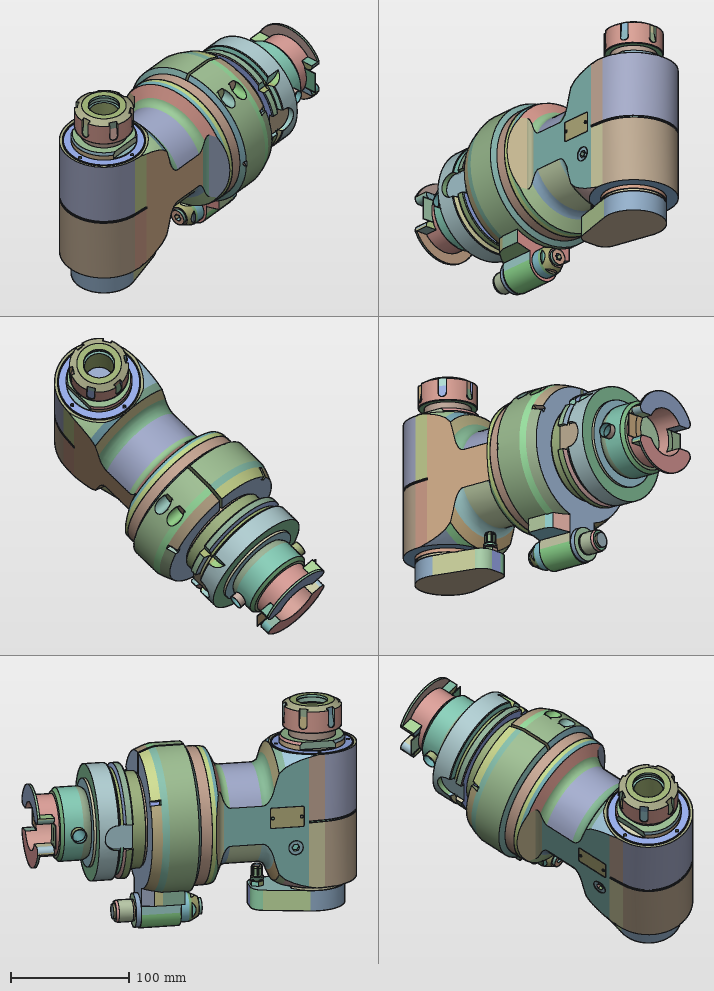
import cadquery as cq
import math


SHANK_END_Y = 244.0
CLAMP_END_Y = 150.5
HOUSING_END_Y = 108.2

LIP_RADIUS = 35.8
LIP_THICKNESS = 2.0
TAIL_RADIUS = 26.5
TAIL_BORE_RADIUS = 20.9
TAIL_BORE_DEPTH = 25.5
TAIL_SLOT_HALF_WIDTH = 10.1
LIP_RAIL_THICKNESS = 6.0
LIP_RAIL_REACH = 32.0
LIP_RAIL_ROUNDING = 4.5
SLOT_FLOOR_REACH = 36.0
SLOT_FLOOR_THICKNESS = 0.5
DEEP_SLOT_Y = 229.7
SHALLOW_SLOT_Y = 234.5
CROSS_TUBE_Y = 208.9
CROSS_TUBE_RADIUS = 6.2
CROSS_HOLE_RADIUS = 6.0
CROSS_TUBE_REACH = 37.2
FLANGE_RADIUS = 50.0
FLANGE_BACK_Y = 194.5
FLANGE_FRONT_Y = 164.5
SPIGOT_RADIUS = 39.7
DRIVE_SLOT_WIDTH = 22.0
DRIVE_SLOT_LENGTH = 24.8
DRIVE_SLOT_FLOOR = 44.5
INDEX_NOTCH_X = 32.0
INDEX_NOTCH_Z = 31.3
INDEX_NOTCH_END_Y = 179.0
INDEX_NOTCH_RUNOUT_RADIUS = 12.7

CLAMP_RADIUS = 64.0
CLAMP_NOSE_RADIUS = 59.0
SPLIT_WIDTH = 2.5
WRENCH_SLOT_WIDTH = 4.2
WRENCH_SLOT_FLOOR = 55.8
WRENCH_SLOT_LENGTH = 8.5
SCREW_POCKET_RADIUS = 5.5
SCREW_POCKET_Z = 52.1
SCREW_POCKET_X = 28.5
SCREW_POCKET_YS = (133.0, 118.0)
MARK_RADIUS = 2.5
MARK_DEPTH = 3.5
BLOCK_FRONT_Y = 116.0
BLOCK_HALF_WIDTH = 15.2
BLOCK_BOTTOM_Z = -96.0
BLOCK_BASE_HALF_WIDTH = 29.3
BLOCK_BASE_Z = -69.0
BLOCK_WAIST_Z = -72.7
BLOCK_ROOT_Z = -50.7

PIN_Z = -80.5
PIN_RADIUS = 9.5
PIN_FLAT_DISTANCE = 10.1
PIN_SOCKET_DIAMETER = 6.5
PIN_SOCKET_DEPTH = 4.2
PIN_FRONT_Y = 96.5
PIN_BACK_Y = 172.8

HEAD_HALF_HEIGHT = 59.2
HEAD_RADIUS = 37.8
FLAT_HALF_WIDTH = 38.75
FLAT_END_Y = 10.5
HEAD_TANGENT_Y = -3.5
HOUSING_FLANGE_RADIUS = 59.2
NECK_RADIUS = 42.3
SHOULDER_FILLET = 4.8
SPLIT_LINE_HEIGHT = 1.5
SPLIT_LINE_DEPTH = 0.8
COVER_RADIUS = 35.2
COVER_GROOVE_WIDTH = 0.8
COVER_GROOVE_DEPTH = 0.8
COVER_HOLE_CIRCLE_RADIUS = 31.3
COVER_HOLE_DIAMETER = 2.6
COVER_HOLE_DEPTH = 2.8
LOWER_COLLAR_RADIUS = 28.0
LOWER_COLLAR_HEIGHT = 3.5

NAMEPLATE_LENGTH = 29.3
NAMEPLATE_HEIGHT = 18.0
NAMEPLATE_Y = 29.5
NAMEPLATE_Z = 5.5
NAMEPLATE_THICKNESS = 0.3
NAMEPLATE_CORNER = 1.5
NAMEPLATE_SCREW_SPACING = 25.0
NAMEPLATE_SCREW_DIAMETER = 2.5
NAMEPLATE_SCREW_HEIGHT = 0.8

PLUG_Y = 22.0
PLUG_Z = -22.0
PLUG_DIAMETER = 12.5
PLUG_RECESS = 0.5
PLUG_SOCKET_DIAMETER = 6.5
PLUG_SOCKET_DEPTH = 4.2

SPINDLE_RADIUS = 20.0
SPINDLE_BORE_RADIUS = 12.5
SPINDLE_BORE_FLOOR_Z = 62.0
COLLAR_RADIUS = 28.0
COLLAR_TOP_Z = 66.2
COLLAR_FLAT_DISTANCE = 23.5
COLLAR_STEP_HEIGHT = 0.8
NUT_RADIUS = 25.0
NUT_BOTTOM_Z = 73.8
NUT_TOP_Z = 96.5
NUT_FACE_RADIUS = 19.0
NUT_BEVEL_HEIGHT = 3.5
NUT_SEAT_Z = 89.5
NUT_MOUTH_RADIUS = 13.2
NUT_GROOVE_RADIUS = 14.7
NUT_SLOT_COUNT = 6
NUT_SLOT_WIDTH = 7.0
NUT_SLOT_FLOOR = 22.3
NUT_SLOT_BOTTOM_Z = 77.2
NUT_SLOT_RAMP_Z = 87.5
NUT_SLOT_RAMP_END = 24.5

ARM_TOP_Z = -64.8
ARM_BOTTOM_Z = -83.0
ARM_HUB_RADIUS = 28.0
ARM_SEAT_RADIUS = 27.0
ARM_CORNER_RADIUS = 11.8
ARM_CORNER_X = 5.5
ARM_NOSE_END_Y = 54.7
ARM_SEAT_TRIM_Y = 21.5
NIPPLE_Y = 47.5
NIPPLE_HEX_DIAMETER = 12.0
NIPPLE_RADIUS = 4.93
NIPPLE_SLOT_COUNT = 6
NIPPLE_SLOT_WIDTH = 1.5
NIPPLE_SLOT_DEPTH = 0.8

CUT_MARGIN = 28.2


def revolve_about_y(profile):
    """Solid of revolution from (radius, y) points."""
    return cq.Workplane("XY").polyline(profile).close().revolve(360, (0, 0, 0), (0, 1, 0))


def revolve_about_z(profile):
    """Solid of revolution from (radius, z) points."""
    return cq.Workplane("XZ").polyline(profile).close().revolve(360, (0, 0, 0), (0, 1, 0))


def box(x_range, y_range, z_range):
    """Box between two limits on each axis."""
    spans = [high - low for low, high in (x_range, y_range, z_range)]
    corner = (x_range[0], y_range[0], z_range[0])
    return cq.Workplane("XY").box(*spans, centered=False).translate(corner)


def x_cylinder(radius, x_range, y, z):
    """Cylinder along X between two X limits."""
    length = x_range[1] - x_range[0]
    return cq.Workplane("YZ", origin=(x_range[0], y, z)).circle(radius).extrude(length)


def drive_slot(angle):
    """U-ended cutter running in from the flange front, facing +X turned by angle about Y."""
    floor = DRIVE_SLOT_FLOOR
    end_radius = DRIVE_SLOT_WIDTH / 2
    arc_y = FLANGE_FRONT_Y + DRIVE_SLOT_LENGTH - end_radius
    outer = FLANGE_RADIUS + CUT_MARGIN
    straight = box((floor, outer), (FLANGE_FRONT_Y, arc_y), (-end_radius, end_radius))
    rounded = x_cylinder(end_radius, (floor, outer), arc_y, 0)
    return straight.union(rounded).rotate((0, 0, 0), (0, 1, 0), angle)


def index_notch():
    """Flat-bottomed corner cutter ending in a round runout."""
    reach = (INDEX_NOTCH_X, FLANGE_RADIUS)
    centre_z = INDEX_NOTCH_Z + INDEX_NOTCH_RUNOUT_RADIUS
    notch = box(reach, (FLANGE_FRONT_Y, INDEX_NOTCH_END_Y), (INDEX_NOTCH_Z, FLANGE_RADIUS))
    return notch.union(x_cylinder(INDEX_NOTCH_RUNOUT_RADIUS, reach, INDEX_NOTCH_END_Y, centre_z))


def add_tail_slot(body, side, floor_y):
    """Drive slot in the tail on one side, framed by two rails and a thin floor."""
    half = TAIL_SLOT_HALF_WIDTH
    frame_half = half + LIP_RAIL_THICKNESS
    rail = box((TAIL_BORE_RADIUS, LIP_RAIL_REACH), (floor_y, SHANK_END_Y), (half, frame_half))
    rail = rail.faces(">X").edges("<Z").fillet(LIP_RAIL_ROUNDING)
    frame = rail.union(rail.mirror("XY"))
    trim = box((TAIL_RADIUS, FLANGE_RADIUS), (floor_y, SHANK_END_Y), (-frame_half, frame_half))
    slot = box((0, FLANGE_RADIUS), (floor_y, SHANK_END_Y), (-half, half))
    floor_back_y = floor_y - SLOT_FLOOR_THICKNESS
    floor = box((TAIL_BORE_RADIUS, SLOT_FLOOR_REACH), (floor_back_y, floor_y), (-half, half))
    if side < 0:
        frame, trim, slot, floor = (s.mirror("YZ") for s in (frame, trim, slot, floor))
    return body.cut(trim).cut(slot).union(frame).union(floor)


def make_shank():
    lip_y = SHANK_END_Y - LIP_THICKNESS
    front_outline = [
        (0, HOUSING_END_Y), (SPIGOT_RADIUS, HOUSING_END_Y), (SPIGOT_RADIUS, 152.5),
        (41.5, 152.5), (41.5, FLANGE_FRONT_Y),
        (48.5, FLANGE_FRONT_Y), (49.3, 165.5), (49.3, 170.8),
        (45.7, 172.5), (45.7, 175.0),
        (49.3, 176.7), (FLANGE_RADIUS, 177.5), (FLANGE_RADIUS, FLANGE_BACK_Y),
        (37.8, FLANGE_BACK_Y), (37.8, 196.7), (29.0, 196.7),
    ]
    tail_outline = [
        (31.5, 220.7), (28.7, 223.5), (TAIL_RADIUS, 224.0),
        (TAIL_RADIUS, lip_y), (LIP_RADIUS, lip_y), (LIP_RADIUS, SHANK_END_Y), (0, SHANK_END_Y),
    ]
    body = (
        cq.Workplane("XY")
        .polyline(front_outline)
        .threePointArc((31.0, 200.0), (31.5, 203.8))
        .polyline(tail_outline, includeCurrent=True)
        .close()
        .revolve(360, (0, 0, 0), (0, 1, 0))
    )
    body = add_tail_slot(body, -1, DEEP_SLOT_Y)
    body = add_tail_slot(body, 1, SHALLOW_SLOT_Y)
    bore_y = SHANK_END_Y - TAIL_BORE_DEPTH
    body = body.cut(revolve_about_y([
        (0, bore_y), (TAIL_BORE_RADIUS, bore_y), (TAIL_BORE_RADIUS, SHANK_END_Y), (0, SHANK_END_Y),
    ]))
    reach = (-CROSS_TUBE_REACH, CROSS_TUBE_REACH)
    body = body.union(x_cylinder(CROSS_TUBE_RADIUS, reach, CROSS_TUBE_Y, 0))
    body = body.cut(x_cylinder(CROSS_HOLE_RADIUS, reach, CROSS_TUBE_Y, 0))
    for angle in (0, 180):
        body = body.cut(drive_slot(angle))
    return body.cut(index_notch())


def make_stop_block():
    """Block under the clamp ring: wide base, chamfered waist and round-bottomed pin holder."""
    depth = CLAMP_END_Y - BLOCK_FRONT_Y
    centre_z = BLOCK_BOTTOM_Z + BLOCK_HALF_WIDTH
    section = (
        cq.Workplane("XZ", origin=(0, CLAMP_END_Y, 0))
        .moveTo(-BLOCK_BASE_HALF_WIDTH, BLOCK_ROOT_Z)
        .lineTo(-BLOCK_BASE_HALF_WIDTH, BLOCK_BASE_Z)
        .lineTo(-BLOCK_HALF_WIDTH, BLOCK_WAIST_Z)
        .lineTo(-BLOCK_HALF_WIDTH, centre_z)
        .threePointArc((0, BLOCK_BOTTOM_Z), (BLOCK_HALF_WIDTH, centre_z))
        .lineTo(BLOCK_HALF_WIDTH, BLOCK_WAIST_Z)
        .lineTo(BLOCK_BASE_HALF_WIDTH, BLOCK_BASE_Z)
        .lineTo(BLOCK_BASE_HALF_WIDTH, BLOCK_ROOT_Z)
        .close()
        .extrude(depth)
    )
    plan_right = [(BLOCK_BASE_HALF_WIDTH, BLOCK_FRONT_Y), (BLOCK_BASE_HALF_WIDTH, 134.7),
                  (27.0, 141.8), (BLOCK_HALF_WIDTH, CLAMP_END_Y)]
    plan_left = [(-x, y) for x, y in reversed(plan_right)]
    plan = (
        cq.Workplane("XY", origin=(0, 0, BLOCK_BOTTOM_Z))
        .polyline(plan_right + plan_left).close()
        .extrude(BLOCK_ROOT_Z - BLOCK_BOTTOM_Z)
    )
    return section.intersect(plan)


def make_clamp_ring():
    body = revolve_about_y([
        (0, HOUSING_END_Y), (HOUSING_FLANGE_RADIUS, HOUSING_END_Y),
        (CLAMP_RADIUS, 111.0), (CLAMP_RADIUS, 136.0), (62.3, 142.0), (CLAMP_NOSE_RADIUS, CLAMP_END_Y), (0, CLAMP_END_Y),
    ])
    body = body.union(make_stop_block())
    length = (HOUSING_END_Y, CLAMP_END_Y)
    bore = revolve_about_y([
        (0, length[0]), (SPIGOT_RADIUS, length[0]), (SPIGOT_RADIUS, length[1]), (0, length[1]),
    ])
    body = body.cut(bore)
    half_split = SPLIT_WIDTH / 2
    body = body.cut(box((-half_split, half_split), length, (0, CLAMP_RADIUS)))
    half_slot = WRENCH_SLOT_WIDTH / 2
    wrench_slot = box(
        (WRENCH_SLOT_FLOOR, CLAMP_RADIUS + CUT_MARGIN),
        (CLAMP_END_Y - WRENCH_SLOT_LENGTH, CLAMP_END_Y),
        (-half_slot, half_slot),
    )
    for angle in (-30, -150):
        body = body.cut(wrench_slot.rotate((0, 0, 0), (0, 1, 0), angle))
    for y in SCREW_POCKET_YS:
        body = body.cut(x_cylinder(SCREW_POCKET_RADIUS, (SCREW_POCKET_X, CLAMP_RADIUS), y, SCREW_POCKET_Z))
    mark = cq.Workplane("XZ", origin=(CLAMP_RADIUS, HOUSING_END_Y + MARK_DEPTH, 0))
    body = body.cut(mark.circle(MARK_RADIUS).extrude(MARK_DEPTH))
    pin_bore = cq.Workplane("XZ", origin=(0, CLAMP_END_Y, PIN_Z))
    return body.cut(pin_bore.circle(PIN_RADIUS).extrude(CLAMP_END_Y - BLOCK_FRONT_Y))


def make_stop_pin():
    tip_y = 99.2
    body = revolve_about_y([
        (0, PIN_FRONT_Y), (7.0, PIN_FRONT_Y), (7.0, tip_y), (8.5, tip_y),
        (12.0, 106.0), (12.7, 108.2), (12.7, BLOCK_FRONT_Y),
        (PIN_RADIUS, BLOCK_FRONT_Y), (PIN_RADIUS, CLAMP_END_Y),
        (14.7, CLAMP_END_Y), (14.7, 154.7), (9.3, 154.7), (9.3, 156.2), (PIN_RADIUS, 156.2), (PIN_RADIUS, 168.5),
        (8.7, 170.8), (6.5, 170.8), (6.5, PIN_BACK_Y), (0, PIN_BACK_Y),
    ])
    flat = box((PIN_FLAT_DISTANCE, CLAMP_RADIUS), (tip_y, 106.0), (-CLAMP_RADIUS, CLAMP_RADIUS))
    for angle in (0, 90, 180, 270):
        body = body.cut(flat.rotate((0, 0, 0), (0, 1, 0), angle))
    socket = cq.Workplane("XZ", origin=(0, PIN_FRONT_Y + PIN_SOCKET_DEPTH, 0))
    body = body.cut(socket.polygon(6, PIN_SOCKET_DIAMETER).extrude(PIN_SOCKET_DEPTH))
    return body.translate((0, 0, PIN_Z))


def housing_turned_body():
    """Flange, waisted neck and domed head, all turned about Y."""
    return (
        cq.Workplane("XY")
        .moveTo(0, HOUSING_END_Y)
        .lineTo(HOUSING_FLANGE_RADIUS, HOUSING_END_Y)
        .lineTo(HOUSING_FLANGE_RADIUS, 98.7)
        .lineTo(59.0, 98.7)
        .lineTo(59.0, 94.5)
        .lineTo(58.0, 91.3)
        .lineTo(47.5, 86.0)
        .threePointArc((43.7, 83.0), (NECK_RADIUS, 79.0))
        .lineTo(NECK_RADIUS, 51.3)
        .threePointArc((44.3, 44.8), (49.5, 41.0))
        .lineTo(HOUSING_FLANGE_RADIUS, 36.6)
        .lineTo(63.0, 31.0)
        .threePointArc((68.0, 17.2), (70.7, HEAD_TANGENT_Y))
        .lineTo(70.7, -HEAD_RADIUS)
        .lineTo(0, -HEAD_RADIUS)
        .close()
        .revolve(360, (0, 0, 0), (0, 1, 0))
    )


def housing_plan(inset, bottom_z, top_z):
    """Prism of the housing plan shape: flange, side flats and round head, shrunk by inset."""
    radius = HEAD_RADIUS - inset
    flat_x = FLAT_HALF_WIDTH - inset
    tangent_x = math.sqrt(radius ** 2 - HEAD_TANGENT_Y ** 2)
    wide = HOUSING_FLANGE_RADIUS + 0.3
    shoulder_y = 87.7
    prism = (
        cq.Workplane("XY", origin=(0, 0, bottom_z))
        .moveTo(-wide, HOUSING_END_Y)
        .lineTo(-wide, 95.5)
        .lineTo(-flat_x, shoulder_y)
        .lineTo(-flat_x, FLAT_END_Y)
        .lineTo(-tangent_x, HEAD_TANGENT_Y)
        .threePointArc((0, -radius), (tangent_x, HEAD_TANGENT_Y))
        .lineTo(flat_x, FLAT_END_Y)
        .lineTo(flat_x, shoulder_y)
        .lineTo(wide, 95.5)
        .lineTo(wide, HOUSING_END_Y)
        .close()
        .extrude(top_z - bottom_z)
    )
    for side in (-1, 1):
        corner = cq.selectors.NearestToPointSelector((side * flat_x, shoulder_y, (bottom_z + top_z) / 2))
        prism = prism.edges("|Z").edges(corner).fillet(SHOULDER_FILLET)
    return prism


def add_nameplate(body):
    """Thin plate with two screw heads on the -X flat."""
    face = cq.Workplane("YZ", origin=(-FLAT_HALF_WIDTH, NAMEPLATE_Y, NAMEPLATE_Z))
    plate = face.rect(NAMEPLATE_LENGTH, NAMEPLATE_HEIGHT).extrude(-NAMEPLATE_THICKNESS)
    plate = plate.edges("|X").fillet(NAMEPLATE_CORNER)
    half_spacing = NAMEPLATE_SCREW_SPACING / 2
    heads = (
        face.pushPoints([(-half_spacing, 0), (half_spacing, 0)])
        .circle(NAMEPLATE_SCREW_DIAMETER / 2)
        .extrude(-NAMEPLATE_SCREW_HEIGHT)
    )
    return body.union(plate).union(heads)


def cut_plug(body):
    """Shallow round recess with a hexagon socket on the -X flat."""
    face = cq.Workplane("YZ", origin=(-FLAT_HALF_WIDTH, PLUG_Y, PLUG_Z))
    body = body.cut(face.circle(PLUG_DIAMETER / 2).extrude(PLUG_RECESS))
    return body.cut(face.polygon(6, PLUG_SOCKET_DIAMETER).extrude(PLUG_SOCKET_DEPTH))


def make_housing():
    body = housing_turned_body().intersect(housing_plan(0, -HEAD_HALF_HEIGHT, HEAD_HALF_HEIGHT))
    half_line = SPLIT_LINE_HEIGHT / 2
    band = box((-CLAMP_RADIUS, CLAMP_RADIUS), (-CLAMP_RADIUS, FLAT_END_Y), (-half_line, half_line))
    body = body.cut(band.cut(housing_plan(SPLIT_LINE_DEPTH, -half_line, half_line)))
    top = cq.Workplane("XY", origin=(0, 0, HEAD_HALF_HEIGHT))
    groove = top.circle(COVER_RADIUS).circle(COVER_RADIUS - COVER_GROOVE_WIDTH)
    body = body.cut(groove.extrude(-COVER_GROOVE_DEPTH))
    holes = top.polarArray(COVER_HOLE_CIRCLE_RADIUS, 0, 360, 4).circle(COVER_HOLE_DIAMETER / 2)
    body = body.cut(holes.extrude(-COVER_HOLE_DEPTH))
    bottom = cq.Workplane("XY", origin=(0, 0, -HEAD_HALF_HEIGHT))
    body = body.union(bottom.circle(LOWER_COLLAR_RADIUS).extrude(-LOWER_COLLAR_HEIGHT))
    return cut_plug(add_nameplate(body))


def make_spindle():
    body = revolve_about_z([
        (0, HEAD_HALF_HEIGHT), (COLLAR_RADIUS, HEAD_HALF_HEIGHT), (COLLAR_RADIUS, 63.7),
        (26.8, COLLAR_TOP_Z), (SPINDLE_RADIUS, COLLAR_TOP_Z),
        (SPINDLE_RADIUS, NUT_SEAT_Z), (SPINDLE_BORE_RADIUS, NUT_SEAT_Z),
        (SPINDLE_BORE_RADIUS, SPINDLE_BORE_FLOOR_Z), (0, SPINDLE_BORE_FLOOR_Z),
    ])
    flat = box(
        (COLLAR_FLAT_DISTANCE, COLLAR_RADIUS),
        (-COLLAR_RADIUS, COLLAR_RADIUS),
        (HEAD_HALF_HEIGHT + COLLAR_STEP_HEIGHT, COLLAR_TOP_Z),
    )
    return body.cut(flat).cut(flat.mirror("YZ"))


def make_collet_nut():
    body = revolve_about_z([
        (SPINDLE_RADIUS, NUT_BOTTOM_Z), (NUT_RADIUS - 0.5, NUT_BOTTOM_Z), (NUT_RADIUS, NUT_BOTTOM_Z + 0.5),
        (NUT_RADIUS, NUT_TOP_Z - NUT_BEVEL_HEIGHT), (NUT_FACE_RADIUS, NUT_TOP_Z),
        (NUT_MOUTH_RADIUS, NUT_TOP_Z), (NUT_MOUTH_RADIUS, 94.1),
        (NUT_GROOVE_RADIUS, 94.1), (NUT_GROOVE_RADIUS, NUT_SEAT_Z), (SPINDLE_RADIUS, NUT_SEAT_Z),
    ])
    half = NUT_SLOT_WIDTH / 2
    arc_z = NUT_SLOT_BOTTOM_Z + half
    outer = NUT_RADIUS + CUT_MARGIN
    slot = box((NUT_SLOT_FLOOR, outer), (-half, half), (arc_z, NUT_TOP_Z))
    slot = slot.union(x_cylinder(half, (NUT_SLOT_FLOOR, outer), 0, arc_z))
    ramp = (
        cq.Workplane("XZ", origin=(0, half, 0))
        .polyline([
            (NUT_SLOT_FLOOR, NUT_SLOT_RAMP_Z), (NUT_SLOT_RAMP_END, NUT_SLOT_BOTTOM_Z),
            (NUT_SLOT_FLOOR, NUT_SLOT_BOTTOM_Z),
        ]).close()
        .extrude(NUT_SLOT_WIDTH)
    )
    slot = slot.cut(ramp)
    for i in range(NUT_SLOT_COUNT):
        angle = -90 + i * 360 / NUT_SLOT_COUNT
        body = body.cut(slot.rotate((0, 0, 0), (0, 0, 1), angle))
    return body


def make_nipple():
    """Hexagon-based nipple with a fluted, domed head, standing on the coolant arm."""
    hexagon = cq.Workplane("XY", origin=(0, 0, ARM_TOP_Z)).polygon(6, NIPPLE_HEX_DIAMETER).extrude(4.0)
    head = revolve_about_z([
        (0, ARM_TOP_Z), (4.2, ARM_TOP_Z), (4.2, -59.8), (5.5, -59.2), (5.5, -57.5), (4.2, -57.0),
        (NIPPLE_RADIUS, -56.5), (NIPPLE_RADIUS, -49.3), (4.2, -47.5), (3.0, -46.8), (0, -46.8),
    ])
    flute = box(
        (NIPPLE_RADIUS - NIPPLE_SLOT_DEPTH, NIPPLE_RADIUS),
        (-NIPPLE_SLOT_WIDTH / 2, NIPPLE_SLOT_WIDTH / 2),
        (-55.2, -48.5),
    )
    for i in range(NIPPLE_SLOT_COUNT):
        head = head.cut(flute.rotate((0, 0, 0), (0, 0, 1), i * 360 / NIPPLE_SLOT_COUNT))
    return hexagon.union(head).translate((0, NIPPLE_Y, 0))


def make_coolant_arm():
    corner_y = ARM_NOSE_END_Y - ARM_CORNER_RADIUS
    corner_distance = math.hypot(ARM_CORNER_X, corner_y)
    corner_angle = math.atan2(corner_y, ARM_CORNER_X)
    normal_angle = corner_angle - math.acos((ARM_HUB_RADIUS - ARM_CORNER_RADIUS) / corner_distance)
    middle_angle = (normal_angle + math.pi / 2) / 2

    def corner_point(angle):
        return (
            ARM_CORNER_X + ARM_CORNER_RADIUS * math.cos(angle),
            corner_y + ARM_CORNER_RADIUS * math.sin(angle),
        )

    def mirrored(point):
        return (-point[0], point[1])

    hub_point = (ARM_HUB_RADIUS * math.cos(normal_angle), ARM_HUB_RADIUS * math.sin(normal_angle))
    corner_start, corner_middle, corner_end = (
        corner_point(angle) for angle in (normal_angle, middle_angle, math.pi / 2)
    )
    body = (
        cq.Workplane("XY", origin=(0, 0, ARM_BOTTOM_Z))
        .moveTo(*hub_point)
        .lineTo(*corner_start)
        .threePointArc(corner_middle, corner_end)
        .lineTo(*mirrored(corner_end))
        .threePointArc(mirrored(corner_middle), mirrored(corner_start))
        .lineTo(*mirrored(hub_point))
        .threePointArc((0, -ARM_HUB_RADIUS), hub_point)
        .close()
        .extrude(ARM_TOP_Z - ARM_BOTTOM_Z)
    )
    seat_top_z = -HEAD_HALF_HEIGHT - LOWER_COLLAR_HEIGHT
    arm_top = cq.Workplane("XY", origin=(0, 0, ARM_TOP_Z))
    seat = arm_top.circle(ARM_SEAT_RADIUS).extrude(seat_top_z - ARM_TOP_Z)
    trim = box((-ARM_HUB_RADIUS, ARM_HUB_RADIUS), (ARM_SEAT_TRIM_Y, ARM_HUB_RADIUS), (ARM_TOP_Z, seat_top_z))
    return body.union(seat.cut(trim)).union(make_nipple())


shank = make_shank()
clamp_ring = make_clamp_ring()
stop_pin = make_stop_pin()
housing = make_housing()
spindle = make_spindle()
collet_nut = make_collet_nut()
coolant_arm = make_coolant_arm()

result = cq.Compound.makeCompound([
    shank.val(),
    clamp_ring.val(),
    stop_pin.val(),
    housing.val(),
    spindle.val(),
    collet_nut.val(),
    coolant_arm.val(),
])